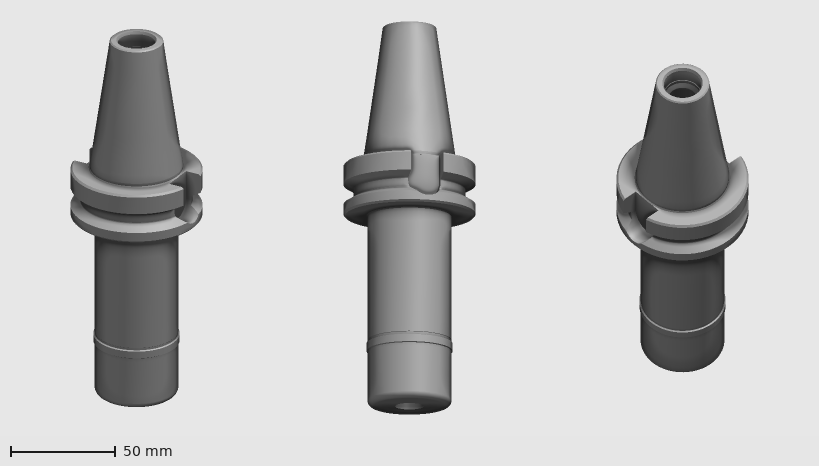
import cadquery as cq
import math

total_height = 185.4
gauge_z = 120.0
flange_top_z = 118.1
flange_bottom_z = 93.0
v_groove_z = 103.5
ring_top_z = 31.0
ring_bottom_z = 26.7

gauge_radius = 22.2
taper_on_diameter = 7 / 24
shank_rim_chamfer = 0.5

flange_radius = 31.5
flange_chamfer = 1.0
groove_floor_radius = 26.7
groove_mouth_width = 10.0
groove_flank_angle = 30.0
groove_corner_fillet = 0.5

root_bevel = 0.5

slot_width = 16.1
slot_bottom_z = 96.5
slot_floor_x = 22.6

body_radius = 20.0
ring_radius = 20.5
ring_chamfer = 0.4
relief_radius = 19.8
relief_width = 1.3
nose_fillet = 2.8

bore_radius = 6.9
counterbore_radius = 8.9
counterbore_depth = 7.8
step_radius = 8.5
step_depth = 9.5
mouth_radius = 9.6
mouth_depth = 1.3


def revolve_profile(points):
    """Revolve a closed (radius, height) outline about the Z axis."""
    return cq.Workplane("XZ").polyline(points).close().revolve(360, (0, 0, 0), (0, 1, 0))


def make_shank():
    """Tapered shank standing on a short cylindrical collar above the flange."""
    shank_length = total_height - gauge_z
    tip_radius = gauge_radius - shank_length * taper_on_diameter / 2
    shank = revolve_profile([
        (0, flange_top_z),
        (gauge_radius + root_bevel, flange_top_z),
        (gauge_radius, flange_top_z + root_bevel),
        (gauge_radius, gauge_z),
        (tip_radius, total_height),
        (0, total_height),
    ])
    return shank.faces(">Z").chamfer(shank_rim_chamfer)


def make_flange():
    """Flange disc with bevelled outer edges and the V-shaped groove around it."""
    half_mouth = groove_mouth_width / 2
    flank_rise = (flange_radius - groove_floor_radius) * math.tan(math.radians(groove_flank_angle))
    half_floor = half_mouth - flank_rise
    bevel_radius = flange_radius - flange_chamfer
    flange = revolve_profile([
        (0, flange_bottom_z),
        (bevel_radius, flange_bottom_z),
        (flange_radius, flange_bottom_z + flange_chamfer),
        (flange_radius, v_groove_z - half_mouth),
        (groove_floor_radius, v_groove_z - half_floor),
        (groove_floor_radius, v_groove_z + half_floor),
        (flange_radius, v_groove_z + half_mouth),
        (flange_radius, flange_top_z - flange_chamfer),
        (bevel_radius, flange_top_z),
        (0, flange_top_z),
    ])
    groove_corners = flange.edges(cq.selectors.RadiusNthSelector(0))
    return groove_corners.fillet(groove_corner_fillet)


def make_body():
    """Cylindrical body with a rounded nose, a raised ring and a relief above the ring."""
    relief_top_z = ring_top_z + relief_width
    relief_bevel = body_radius - relief_radius
    body = revolve_profile([
        (0, 0),
        (body_radius, 0),
        (body_radius, ring_bottom_z),
        (ring_radius, ring_bottom_z + ring_chamfer),
        (ring_radius, ring_top_z - ring_chamfer),
        (relief_radius, ring_top_z),
        (relief_radius, relief_top_z - relief_bevel),
        (body_radius, relief_top_z),
        (body_radius, flange_bottom_z - root_bevel),
        (body_radius + root_bevel, flange_bottom_z),
        (0, flange_bottom_z),
    ])
    return body.faces("<Z").edges().fillet(nose_fillet)


def make_drive_slot(side):
    """Round-bottomed slot, open at the top; side is +1 or -1 along X."""
    half_width = slot_width / 2
    arc_z = slot_bottom_z + half_width
    return (
        cq.Workplane("YZ", origin=(side * slot_floor_x, 0, 0))
        .moveTo(-half_width, flange_top_z)
        .lineTo(-half_width, arc_z)
        .threePointArc((0, slot_bottom_z), (half_width, arc_z))
        .lineTo(half_width, flange_top_z)
        .close()
        .extrude(side * flange_radius)
    )


def make_bore():
    """Through bore with a bevelled counterbore, a short step below it and a 45-degree cone into the bore."""
    counterbore_z = total_height - counterbore_depth
    step_z = total_height - step_depth
    return revolve_profile([
        (0, 0),
        (bore_radius, 0),
        (bore_radius, step_z - (step_radius - bore_radius)),
        (step_radius, step_z),
        (step_radius, counterbore_z),
        (counterbore_radius, counterbore_z),
        (counterbore_radius, total_height - mouth_depth),
        (mouth_radius, total_height),
        (0, total_height),
    ])


result = make_body().union(make_flange()).union(make_shank())
for side in (-1, 1):
    result = result.cut(make_drive_slot(side))
result = result.cut(make_bore())